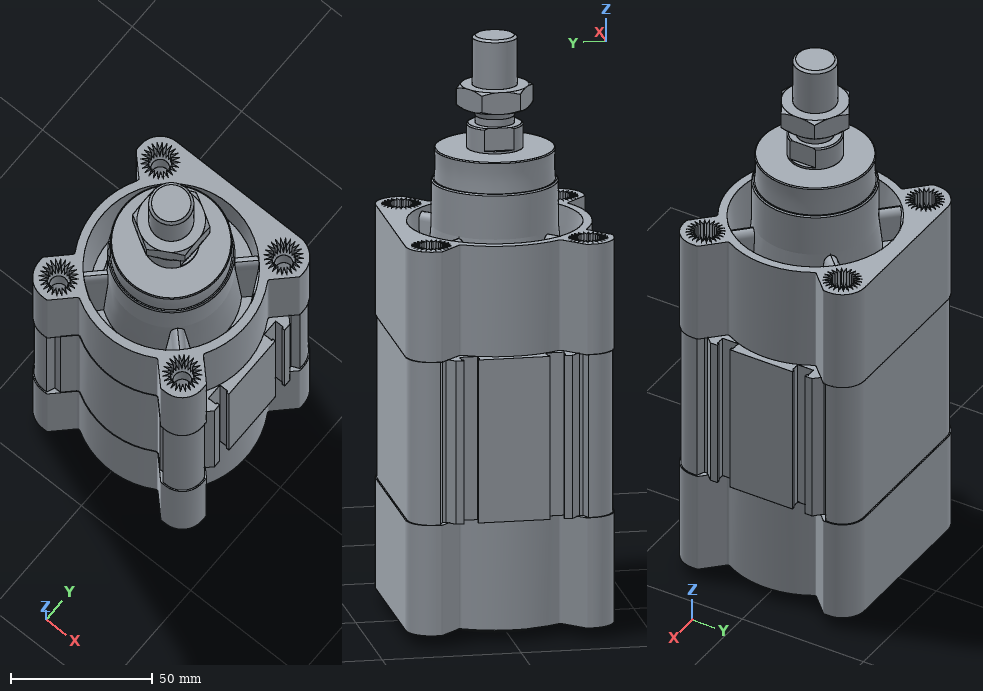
import cadquery as cq
import math


cap_height = 40.5
barrel_length = 59.8
body_height = 2 * cap_height + barrel_length
rear_spigot_height = 4.2
collar_height = 15.6
head_height = 11.5
head_top = body_height + collar_height + head_height

screw_offset = 28.25
cap_half_width = 37.5
barrel_half_width = 37.0
cap_round_radius = 34.5
barrel_round_radius = 34.3
cap_flank_offset = 11.5
barrel_flank_offset = 11.2
cap_lobe_fillet = 1.0
cap_flank_fillet = 1.0
barrel_flank_fillet = 1.5

groove_floor = 34.0
groove_lip = 26.6
groove_foot = 25.3

slot_floor = 32.4
slot_inner_edge = 12.3
slot_outer_edge = 18.7
slot_lip = 0.6
slot_lip_thickness = 1.2
rail_half_width = 21.0

collar_radius = 22.5
spigot_chamfer = 0.5
collar_chamfer = 0.5
head_radius = 21.5
head_waist_radius = 21.2
head_chamfer = 0.4

pocket_depth = 25.0
shallow_pocket_depth = 13.0
pocket_top_radius = 31.2
pocket_draft_slope = 0.1
pocket_inner_drop = 1.0
rib_drop = 1.5
rib_half_width = 2.5
rib_crown_height = 2.7

socket_tip_radius = 6.95
socket_root_radius = 4.2
socket_teeth = 24
socket_depth = 6.0
socket_floor_drop = 2.0
screw_bore_diameter = 6.65
screw_bore_depth = 16.0
drill_tip_angle = 118.0

rod_diameter = 20.0
rod_exposed = 41.0
rod_seat_depth = collar_height + head_height
thread_diameter = 16.0
thread_length = 32.0
thread_tip_diameter = 13.9
thread_tip_chamfer = 0.8
undercut_diameter = 13.9
undercut_length = 2.7
undercut_taper = 2.7
shoulder_chamfer = 0.5
flat_width = 17.0
flat_length = 8.2
rod_top = head_top + rod_exposed

nut_width = 24.0
nut_height = 8.0
nut_top = rod_top - 18.0
nut_chamfer_radius = 12.1
nut_chamfer_angle = 30.0

LOBES = [(sx * screw_offset, sy * screw_offset) for sx in (-1, 1) for sy in (-1, 1)]


def ring_profile(points):
    """Solid of revolution about Z from (radius, z) points."""
    return cq.Workplane("XZ").polyline(points).close().revolve(360, (0, 0, 0), (0, 1, 0))


def mirrored_in_x(shape):
    return shape.union(shape.mirror("YZ"))


def flank_notch(half_width, height, round_radius, flank_offset, fillet):
    """Material outside the round flank on the -Y side, between the two lobes there."""
    outer = half_width + 1.0
    lobe_x = half_width - flank_offset + 1.0
    root_x = (math.sqrt(2 * round_radius**2 - flank_offset**2) - flank_offset) / 2
    root_y = root_x + flank_offset
    notch = (
        cq.Workplane("XY")
        .moveTo(-lobe_x, -outer)
        .lineTo(-root_x, -root_y)
        .threePointArc((0, -round_radius), (root_x, -root_y))
        .lineTo(lobe_x, -outer)
        .close()
        .extrude(height)
    )
    roots = cq.selectors.BoxSelector(
        (-root_x - 0.1, -root_y - 0.1, -1), (root_x + 0.1, -root_y + 0.1, height + 1)
    )
    return notch.edges("|Z").edges(roots).fillet(fillet)


def lobed_block(half_width, height):
    """Square block with rounded lobes around the corner screws."""
    block = cq.Workplane("XY").rect(2 * half_width, 2 * half_width).extrude(height)
    return block.edges("|Z").fillet(half_width - screw_offset)


def make_cap():
    cap = lobed_block(cap_half_width, cap_height)
    notch = flank_notch(
        cap_half_width, cap_height, cap_round_radius, cap_flank_offset, cap_flank_fillet
    )
    for angle in (-90, 0, 90):
        cap = cap.cut(notch.rotate((0, 0, 0), (0, 0, 1), angle))
    corner = cap_half_width - cap_flank_offset
    corner_points = [(side * corner, -cap_half_width) for side in (-1, 1)]
    corner_points += [(sx * cap_half_width, sy * corner) for sx in (-1, 1) for sy in (-1, 1)]
    for x, y in corner_points:
        edge = cq.selectors.NearestToPointSelector((x, y, cap_height / 2))
        cap = cap.edges(edge).fillet(cap_lobe_fillet)
    return cap


def side_groove():
    """Groove between a -Y corner lobe and the narrow rail on the +X face."""
    rail_foot = rail_half_width + barrel_half_width - groove_floor
    return (
        cq.Workplane("XY")
        .polyline([
            (barrel_half_width, -groove_lip),
            (groove_floor, -groove_foot),
            (groove_floor, -rail_foot),
            (barrel_half_width, -rail_half_width),
        ])
        .close()
        .extrude(barrel_length)
    )


def lobe_groove():
    """Groove in the -Y flank of the +X lobe."""
    flank_x = groove_floor - barrel_flank_offset
    return (
        cq.Workplane("XY")
        .polyline([
            (groove_lip, -barrel_half_width),
            (groove_foot, -groove_floor),
            (flank_x, -groove_floor),
            (flank_x, -barrel_half_width),
        ])
        .close()
        .extrude(barrel_length)
    )


def sensor_slot():
    """Slot with narrow lips on the -Y half of the +X face."""
    lip_face = barrel_half_width - slot_lip_thickness
    return (
        cq.Workplane("XY")
        .polyline([
            (slot_floor, -slot_inner_edge),
            (lip_face, -slot_inner_edge),
            (lip_face, -slot_inner_edge - slot_lip),
            (barrel_half_width, -slot_inner_edge - slot_lip),
            (barrel_half_width, -slot_outer_edge + slot_lip),
            (lip_face, -slot_outer_edge + slot_lip),
            (lip_face, -slot_outer_edge),
            (slot_floor, -slot_outer_edge),
        ])
        .close()
        .extrude(barrel_length)
    )


def make_barrel():
    barrel = lobed_block(barrel_half_width, barrel_length)
    barrel = barrel.cut(flank_notch(
        barrel_half_width,
        barrel_length,
        barrel_round_radius,
        barrel_flank_offset,
        barrel_flank_fillet,
    ))
    barrel = barrel.cut(mirrored_in_x(lobe_groove()))
    for side_cut in (side_groove(), sensor_slot()):
        both_ends = side_cut.union(side_cut.mirror("XZ"))
        barrel = barrel.cut(mirrored_in_x(both_ends))
    return barrel


def pocket_ring(depth):
    """Ring pocket with drafted walls between the collar and the cap wall."""
    floor = body_height - depth
    draft = pocket_draft_slope * depth
    return ring_profile([
        (collar_radius, body_height),
        (pocket_top_radius, body_height),
        (pocket_top_radius - draft, floor),
        (collar_radius + draft, floor),
        (collar_radius, body_height - pocket_inner_drop),
    ])


def annular_pocket():
    """Pocket around the collar in four quadrants, with rounded ribs left standing between them."""
    shallow_quadrant = (
        cq.Workplane("XY")
        .workplane(offset=body_height - pocket_depth)
        .polyline([(0, 0), (cap_half_width, cap_half_width), (-cap_half_width, cap_half_width)])
        .close()
        .extrude(pocket_depth)
    )
    ring = pocket_ring(pocket_depth).cut(shallow_quadrant)
    ring = ring.union(pocket_ring(shallow_pocket_depth).intersect(shallow_quadrant))

    draft = pocket_draft_slope * pocket_depth
    floor = body_height - pocket_depth
    crest = body_height - rib_drop
    half_rib = (
        cq.Workplane("XZ")
        .moveTo(rib_half_width + draft, floor)
        .lineTo(rib_half_width, crest - rib_crown_height)
        .tangentArcPoint((0, crest), relative=False)
        .lineTo(0, floor)
        .close()
        .extrude(-cap_half_width)
    )
    rib = mirrored_in_x(half_rib)
    for quarter in range(4):
        ring = ring.cut(rib.rotate((0, 0, 0), (0, 0, 1), 45 + 90 * quarter))
    return ring


def screw_sockets():
    """Serrated sockets with a conical floor and a drilled bore below, at the four corners."""
    star = []
    for step in range(2 * socket_teeth):
        radius = socket_tip_radius if step % 2 == 0 else socket_root_radius
        angle = math.pi * (step + 0.5) / socket_teeth
        star.append((radius * math.cos(angle), radius * math.sin(angle)))
    top = cq.Workplane("XY").workplane(offset=body_height)
    floor_edge = body_height - socket_depth
    floor_bottom = floor_edge - socket_floor_drop
    bore_radius = screw_bore_diameter / 2
    envelope = ring_profile([
        (0, body_height),
        (socket_tip_radius, body_height),
        (socket_tip_radius, floor_edge),
        (bore_radius, floor_bottom),
        (0, floor_bottom),
    ])
    teeth = top.polyline(star).close().extrude(floor_bottom - body_height).intersect(envelope)
    bore_floor = body_height - screw_bore_depth
    tip = bore_floor - bore_radius / math.tan(math.radians(drill_tip_angle / 2))
    bore = ring_profile([
        (0, body_height), (bore_radius, body_height), (bore_radius, bore_floor), (0, tip)
    ])
    socket = teeth.union(bore)
    sockets = cq.Workplane("XY")
    for x, y in LOBES:
        sockets = sockets.add(socket.translate((x, y, 0)))
    return sockets


def make_head():
    """Scraper head on the collar, slightly waisted."""
    bottom = body_height + collar_height
    rim = head_top - head_chamfer
    return (
        cq.Workplane("XZ")
        .moveTo(0, bottom)
        .lineTo(head_radius, bottom)
        .threePointArc((head_waist_radius, (bottom + rim) / 2), (head_radius, rim))
        .lineTo(head_radius - head_chamfer, head_top)
        .lineTo(0, head_top)
        .close()
        .revolve(360, (0, 0, 0), (0, 1, 0))
    )


def make_cylinder_body():
    cap = make_cap()
    body = cap.union(make_barrel().translate((0, 0, cap_height)))
    body = body.union(cap.translate((0, 0, cap_height + barrel_length)))
    spigot = (
        cq.Workplane("XY")
        .circle(collar_radius)
        .extrude(-rear_spigot_height)
        .faces("<Z")
        .chamfer(spigot_chamfer)
    )
    collar = (
        cq.Workplane("XY")
        .workplane(offset=body_height)
        .circle(collar_radius)
        .extrude(collar_height)
        .faces(">Z")
        .chamfer(collar_chamfer)
    )
    body = body.union(spigot).union(collar).union(make_head())
    body = body.cut(annular_pocket())
    for socket in screw_sockets().vals():
        body = body.cut(cq.Workplane(socket))
    rod_seat = (
        cq.Workplane("XY")
        .workplane(offset=head_top)
        .circle(rod_diameter / 2)
        .extrude(-rod_seat_depth)
    )
    return body.cut(rod_seat)


def make_rod():
    rod_radius = rod_diameter / 2
    thread_radius = thread_diameter / 2
    undercut_radius = undercut_diameter / 2
    shoulder = rod_top - thread_length
    undercut_top = shoulder + undercut_length
    seat = head_top - rod_seat_depth
    rod = ring_profile([
        (0, seat),
        (rod_radius, seat),
        (rod_radius, shoulder - shoulder_chamfer),
        (rod_radius - shoulder_chamfer, shoulder),
        (undercut_radius, shoulder),
        (undercut_radius, undercut_top),
        (thread_radius, undercut_top + undercut_taper),
        (thread_radius, rod_top - thread_tip_chamfer),
        (thread_tip_diameter / 2, rod_top),
        (0, rod_top),
    ])
    spanner_flats = (
        cq.Workplane("XY")
        .workplane(offset=shoulder)
        .pushPoints([(-flat_width, 0), (flat_width, 0)])
        .rect(flat_width, rod_diameter)
        .extrude(-flat_length)
    )
    return rod.cut(spanner_flats)


def make_nut():
    corner_radius = nut_width / math.sqrt(3)
    chamfer_drop = (corner_radius - nut_chamfer_radius) * math.tan(math.radians(nut_chamfer_angle))
    nut_bottom = nut_top - nut_height
    hexagon = (
        cq.Workplane("XY")
        .workplane(offset=nut_bottom)
        .transformed(rotate=(0, 0, 90))
        .polygon(6, 2 * corner_radius)
        .extrude(nut_height)
    )
    chamfered_blank = ring_profile([
        (thread_diameter / 2, nut_bottom),
        (nut_chamfer_radius, nut_bottom),
        (corner_radius, nut_bottom + chamfer_drop),
        (corner_radius, nut_top - chamfer_drop),
        (nut_chamfer_radius, nut_top),
        (thread_diameter / 2, nut_top),
    ])
    return hexagon.intersect(chamfered_blank)


cylinder_body = make_cylinder_body()
piston_rod = make_rod()
lock_nut = make_nut()

result = cq.Compound.makeCompound([cylinder_body.val(), piston_rod.val(), lock_nut.val()])